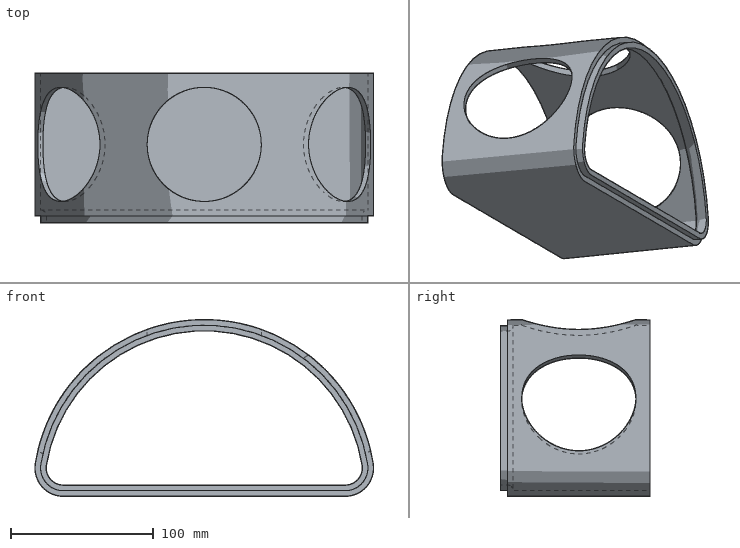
import cadquery as cq
import math

WALL = 4.0
JOINT_ARC_RADIUS = 116.0
JOINT_CORNER_RADIUS = 16.0
BODY_LENGTH = 100.0
LIP_LENGTH = 5.0
WINDOW_DIAMETER = 80.0
SIDE_WINDOW_ELEVATION = 33.0

ARC_CENTER_Z = WALL
CORNER_Z = ARC_CENTER_Z + JOINT_CORNER_RADIUS
CORNER_REACH = JOINT_ARC_RADIUS - JOINT_CORNER_RADIUS
CORNER_X = math.sqrt(CORNER_REACH**2 - JOINT_CORNER_RADIUS**2)
CORNER_ELEVATION = math.atan2(JOINT_CORNER_RADIUS, CORNER_X)
WINDOW_RADIUS = WINDOW_DIAMETER / 2
WINDOW_ELEVATIONS = (SIDE_WINDOW_ELEVATION, 90.0, 180.0 - SIDE_WINDOW_ELEVATION)


def polar(center_u, center_z, radius, angle):
    """Point at the given angle (radians) on a circle in an upright plane."""
    return (center_u + radius * math.cos(angle), center_z + radius * math.sin(angle))


def arch_outline(offset, y):
    """Closed D-shaped outline at the given Y, lying `offset` outside the joint outline."""
    arc_radius = JOINT_ARC_RADIUS + offset
    corner_radius = JOINT_CORNER_RADIUS + offset
    floor_z = CORNER_Z - corner_radius
    corner_middle = (CORNER_ELEVATION - math.pi / 2) / 2
    tangent_x, tangent_z = polar(0, ARC_CENTER_Z, arc_radius, CORNER_ELEVATION)
    bulge_x, bulge_z = polar(CORNER_X, CORNER_Z, corner_radius, corner_middle)
    return (
        cq.Workplane("XZ", origin=(0, y, 0))
        .moveTo(-CORNER_X, floor_z)
        .lineTo(CORNER_X, floor_z)
        .threePointArc((bulge_x, bulge_z), (tangent_x, tangent_z))
        .threePointArc((0, ARC_CENTER_Z + arc_radius), (-tangent_x, tangent_z))
        .threePointArc((-bulge_x, bulge_z), (-CORNER_X, floor_z))
        .close()
    )


def arch_prism(offset, y_start, y_end):
    """D-shaped solid of constant section between two Y positions."""
    return arch_outline(offset, y_start).extrude(y_start - y_end)


def rounded_bead():
    """Quarter-round bead behind the lip, joining the lip's inside to the body's inside."""
    floor_z = ARC_CENTER_Z
    middle_y, middle_z = polar(0, floor_z, WALL, math.pi / 4)
    profile = (
        cq.Workplane("YZ", origin=(-CORNER_X, 0, 0))
        .moveTo(0, floor_z)
        .lineTo(0, floor_z + WALL)
        .threePointArc((middle_y, middle_z), (WALL, floor_z))
        .close()
    )
    return profile.sweep(arch_outline(0, 0))


def shell():
    """D-shaped tube with a stepped-in lip in front, held by a bead that runs around the inside."""
    body = arch_prism(WALL, 0, BODY_LENGTH).cut(arch_prism(0, 0, BODY_LENGTH))
    lip = arch_prism(0, -LIP_LENGTH, 0).cut(arch_prism(-WALL, -LIP_LENGTH, 0))
    return body.union(rounded_bead()).union(lip)


def window_cutter(elevation):
    """Radial cylinder through the arch wall only, starting just inside it."""
    angle = math.radians(elevation)
    start_radius = math.sqrt(JOINT_ARC_RADIUS**2 - WINDOW_RADIUS**2) - WALL
    end_radius = JOINT_ARC_RADIUS + 2 * WALL
    start_x, start_z = polar(0, ARC_CENTER_Z, start_radius, angle)
    axis_start = cq.Vector(start_x, BODY_LENGTH / 2, start_z)
    axis_direction = cq.Vector(math.cos(angle), 0, math.sin(angle))
    cutter = cq.Solid.makeCylinder(WINDOW_RADIUS, end_radius - start_radius, axis_start, axis_direction)
    return cq.Workplane(obj=cutter)


result = shell()
for window_elevation in WINDOW_ELEVATIONS:
    result = result.cut(window_cutter(window_elevation))